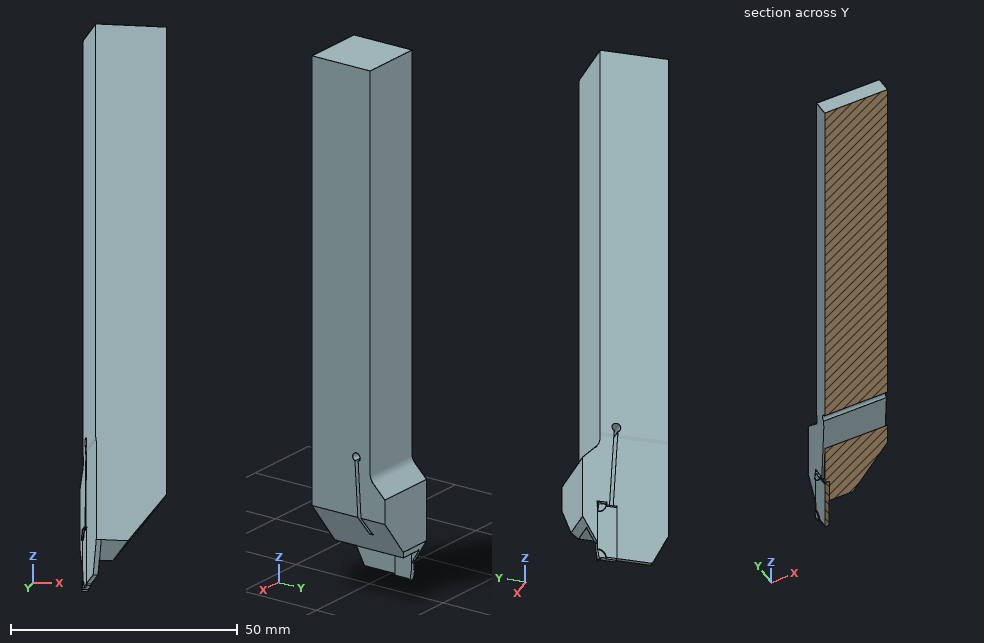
import cadquery as cq
import math

shank_width = 15.9
shank_depth = 15.9
total_length = 125
head_depth = 19.9
head_bottom = 0.8
nose_start = 3.8
bevel_top = 7.9
lower_slope_top = 10.0
lower_slope_angle = 60
upper_slope_bottom = 24.5
neck_radius = 3.1
blade_thickness = 1.2
block_bottom_width = 7.2
block_slope_top = 18.8
face_relief = 0.1
relief_bottom = 30.2
relief_top = 31.1
slot_width = 0.9
slot_hole_radius = 1.0
slot_top_y = 12.1
slot_top_z = 32.9
slot_bottom_y = 13.2
tip_clearance_width = 2.2
tip_clearance_top = 14.2
insert_back = 12.0
insert_front = 16.5
insert_length = 14.0
insert_end_inset = 0.4
tip_y = 16.1
tip_root_y = 15.6
tip_flank = 2.5
tip_radius = 2.0
tip_rise = 0.1
end_chamfer_length = 0.4
end_chamfer_depth = 0.1

insert_middle = insert_length / 2
insert_top = insert_length - insert_end_inset
lower_slope_bottom = lower_slope_top - (head_depth - insert_front) * math.tan(math.radians(lower_slope_angle))
neck_z = upper_slope_bottom + head_depth - shank_depth


def extrude_yz(points, x_start, x_end):
    """Extrude a closed YZ outline from x_start to x_end."""
    return cq.Workplane("YZ", origin=(x_start, 0, 0)).polyline(points).close().extrude(x_end - x_start)


def insert_outline():
    end_points = [
        (insert_back, insert_end_inset),
        (tip_root_y, insert_end_inset),
        (tip_y, 0),
        (insert_front, tip_flank),
    ]
    mirrored_end = [(y, insert_length - z) for y, z in reversed(end_points)]
    return end_points + mirrored_end


def insert_blank():
    return extrude_yz(insert_outline(), face_relief, blade_thickness)


def make_insert():
    body = insert_blank()
    end_taper = (
        cq.Workplane("XZ", origin=(0, insert_back, 0))
        .polyline([
            (face_relief, insert_end_inset),
            (face_relief + end_chamfer_depth, insert_end_inset),
            (face_relief, insert_end_inset + end_chamfer_length),
        ])
        .close()
        .extrude(-(insert_front - tip_radius - insert_back))
    )
    middle = (0, 0, insert_middle)
    body = body.cut(end_taper).cut(end_taper.mirror("XY", middle))
    full_pad = extrude_yz(insert_outline(), -tip_rise, face_relief)
    for corner_z in (insert_end_inset, insert_top):
        disc = (
            cq.Workplane("YZ", origin=(-tip_rise, insert_front, corner_z))
            .circle(tip_radius)
            .extrude(tip_rise + face_relief)
        )
        body = body.union(full_pad.intersect(disc))
    return body


def head_and_shank():
    profile = [
        (0, total_length),
        (0, bevel_top),
        (nose_start, head_bottom),
        (insert_front, head_bottom),
        (insert_front, lower_slope_bottom),
        (head_depth, lower_slope_top),
        (head_depth, upper_slope_bottom),
        (shank_depth, neck_z),
        (shank_depth, total_length),
    ]
    body = extrude_yz(profile, 0, shank_width)
    neck_point = (shank_width / 2, shank_depth, neck_z)
    body = body.edges(cq.selectors.NearestToPointSelector(neck_point)).fillet(neck_radius)
    side_profile = [
        (0, 0),
        (blade_thickness, 0),
        (blade_thickness, bevel_top),
        (block_bottom_width, bevel_top),
        (shank_width, block_slope_top),
        (shank_width, total_length),
        (0, total_length),
    ]
    side_block = cq.Workplane("XZ").polyline(side_profile).close().extrude(-head_depth)
    return body.intersect(side_block)


def side_relief():
    return (
        cq.Workplane("XZ")
        .polyline([(0, 0), (face_relief, 0), (face_relief, relief_bottom), (0, relief_top)])
        .close()
        .extrude(-head_depth)
    )


def clamping_slot():
    half = slot_width / 2
    slit = extrude_yz(
        [
            (slot_top_y - half, slot_top_z),
            (slot_top_y + half, slot_top_z),
            (slot_bottom_y + half, insert_top),
            (slot_bottom_y - half, insert_top),
        ],
        0,
        shank_width,
    )
    hole = (
        cq.Workplane("YZ", origin=(0, slot_top_y, slot_top_z))
        .circle(slot_hole_radius)
        .extrude(shank_width)
    )
    return slit.union(hole)


def insert_pocket():
    clearance_back = insert_front - tip_clearance_width
    outline = [
        (insert_back, 0),
        (insert_front, 0),
        (insert_front, tip_clearance_top),
        (clearance_back, tip_clearance_top),
        (clearance_back, insert_top),
        (insert_back, insert_top),
    ]
    return extrude_yz(outline, 0, blade_thickness)


def make_holder():
    return head_and_shank().cut(side_relief()).cut(clamping_slot()).cut(insert_pocket())


holder = make_holder()
cutting_insert = make_insert()
result = cq.Compound.makeCompound([holder.val(), cutting_insert.val()])